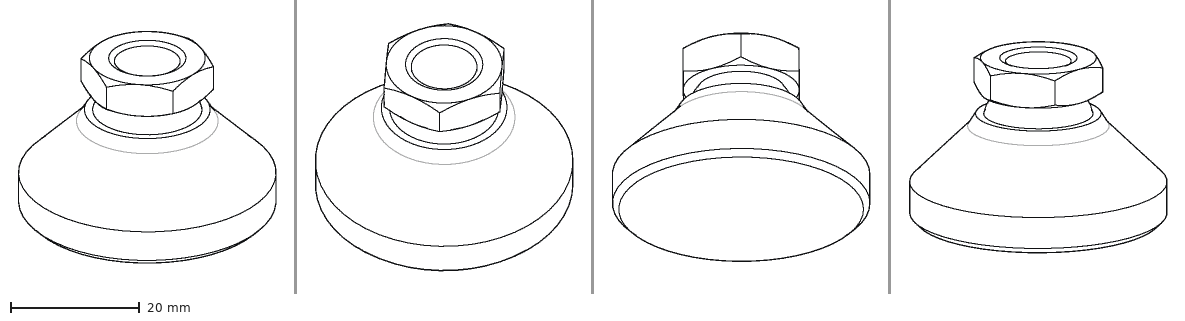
import cadquery as cq
import math

foot_diameter = 40.0
foot_radius = foot_diameter / 2
bottom_chamfer = 1.0
rim_top = 6.0
cone_top = 15.0
cone_top_radius = foot_radius - (cone_top - rim_top)
collar_top = 17.0
collar_top_radius = 9.75

ball_radius = 8.7
ball_center = cone_top

total_height = 26.0
head_height = 5.5
head_bottom = total_height - head_height
across_flats = 18.0
across_corners = across_flats / math.cos(math.radians(30))
corner_chamfer_angle = 30.0

bore_diameter = 10.2
bore_mouth_diameter = 12.0
bore_mouth_angle = 120.0
bore_depth = 10.0
drill_point_angle = 118.0


def make_ball():
    return cq.Workplane("XY").sphere(ball_radius).translate((0, 0, ball_center))


def make_foot():
    """Revolved base, hollowed by the socket that holds the ball."""
    profile = [
        (0, 0),
        (foot_radius - bottom_chamfer, 0),
        (foot_radius, bottom_chamfer),
        (foot_radius, rim_top),
        (cone_top_radius, cone_top),
        (collar_top_radius, collar_top),
        (0, collar_top),
    ]
    base = cq.Workplane("XZ").polyline(profile).close().revolve(360, (0, 0), (0, 1))
    return base.cut(make_ball())


def make_hex_head():
    """Hexagon with corners on the Y axis, both ends turned to a cone."""
    hexagon = (
        cq.Workplane("XY", origin=(0, 0, head_bottom))
        .polygon(6, across_corners)
        .extrude(head_height)
        .rotate((0, 0, 0), (0, 0, 1), 90)
    )
    face_radius = across_flats / 2
    corner_radius = across_corners / 2
    corner_drop = (corner_radius - face_radius) * math.tan(math.radians(corner_chamfer_angle))
    turned_profile = [
        (0, head_bottom),
        (face_radius, head_bottom),
        (corner_radius, head_bottom + corner_drop),
        (corner_radius, total_height - corner_drop),
        (face_radius, total_height),
        (0, total_height),
    ]
    turned = cq.Workplane("XZ").polyline(turned_profile).close().revolve(360, (0, 0), (0, 1))
    return hexagon.intersect(turned)


def make_bore():
    """Cutter for the bore, with a countersunk mouth and a drill point."""
    bore_radius = bore_diameter / 2
    mouth_radius = bore_mouth_diameter / 2
    mouth_depth = (mouth_radius - bore_radius) / math.tan(math.radians(bore_mouth_angle / 2))
    bore_bottom = total_height - bore_depth
    point_depth = bore_radius / math.tan(math.radians(drill_point_angle / 2))
    profile = [
        (0, bore_bottom - point_depth),
        (bore_radius, bore_bottom),
        (bore_radius, total_height - mouth_depth),
        (mouth_radius, total_height),
        (0, total_height),
    ]
    return cq.Workplane("XZ").polyline(profile).close().revolve(360, (0, 0), (0, 1))


def make_ball_nut():
    """Ball cut off at the underside of the head, joined to the head and bored."""
    ball_below_head = make_ball().intersect(
        cq.Workplane("XY").circle(ball_radius * 2).extrude(head_bottom)
    )
    return ball_below_head.union(make_hex_head()).cut(make_bore())


foot = make_foot().solids()
ball_nut = make_ball_nut().solids()

result = cq.Compound.makeCompound([foot.val(), ball_nut.val()])